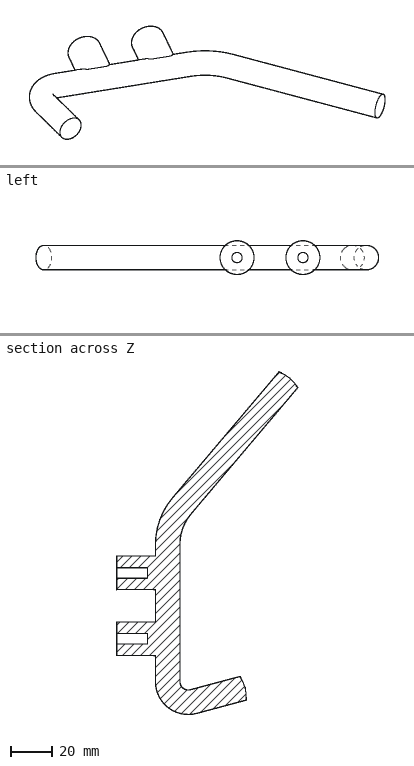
import cadquery as cq
import math

ROD_DIAMETER = 12.0
STRAIGHT_LENGTH = 66.8
LOWER_BEND_RADIUS = 10.0
LOWER_BEND_ANGLE = 105.0
LOWER_ARM_LENGTH = 25.0
UPPER_BEND_RADIUS = 29.0
UPPER_BEND_ANGLE = 40.2
UPPER_ARM_LENGTH = 80.5
TIP_DOME_HEIGHT = 1.0

POST_DIAMETER = 16.5
POST_LENGTH = 23.9
POST_END_FILLET = 1.0
POST_BASE_X = -24.9
LOWER_POST_Y = 20.9
POST_SPACING = 32.0
POST_COUNT = 2
HOLE_DIAMETER = 5.0
HOLE_DEPTH = 15.0


def bend_point(radius, angle):
    """Offset (X, along the rod) from a bend's start after turning by angle degrees."""
    turn = math.radians(angle)
    return radius * (1 - math.cos(turn)), radius * math.sin(turn)


def rod_centreline():
    """Path in the XY plane from the lower arm's tip to the upper arm's tip."""
    lower_turn = math.radians(LOWER_BEND_ANGLE)
    upper_turn = math.radians(UPPER_BEND_ANGLE)

    lower_mid_x, lower_mid_drop = bend_point(LOWER_BEND_RADIUS, LOWER_BEND_ANGLE / 2)
    lower_end_x, lower_end_drop = bend_point(LOWER_BEND_RADIUS, LOWER_BEND_ANGLE)
    lower_tip_x = lower_end_x + LOWER_ARM_LENGTH * math.sin(lower_turn)
    lower_tip_y = -lower_end_drop - LOWER_ARM_LENGTH * math.cos(lower_turn)

    upper_mid_x, upper_mid_rise = bend_point(UPPER_BEND_RADIUS, UPPER_BEND_ANGLE / 2)
    upper_end_x, upper_end_rise = bend_point(UPPER_BEND_RADIUS, UPPER_BEND_ANGLE)
    upper_tip_x = upper_end_x + UPPER_ARM_LENGTH * math.sin(upper_turn)
    upper_end_y = STRAIGHT_LENGTH + upper_end_rise
    upper_tip_y = upper_end_y + UPPER_ARM_LENGTH * math.cos(upper_turn)

    return (
        cq.Workplane("XY")
        .moveTo(lower_tip_x, lower_tip_y)
        .lineTo(lower_end_x, -lower_end_drop)
        .threePointArc((lower_mid_x, -lower_mid_drop), (0, 0))
        .lineTo(0, STRAIGHT_LENGTH)
        .threePointArc((upper_mid_x, STRAIGHT_LENGTH + upper_mid_rise), (upper_end_x, upper_end_y))
        .lineTo(upper_tip_x, upper_tip_y)
        .wire()
    )


def tip_dome(centre, outward):
    """Shallow spherical cap on a rod tip, bulging along the outward direction."""
    radius = ROD_DIAMETER / 2
    height = TIP_DOME_HEIGHT
    sphere_radius = (radius**2 + height**2) / (2 * height)
    arc_mid_angle = math.asin(radius / sphere_radius) / 2
    arc_mid = (
        sphere_radius * math.sin(arc_mid_angle),
        height - sphere_radius * (1 - math.cos(arc_mid_angle)),
    )
    profile_plane = cq.Plane(origin=centre, xDir=(0, 0, 1), normal=cq.Vector(0, 0, 1).cross(outward))
    return (
        cq.Workplane(profile_plane)
        .lineTo(radius, 0)
        .threePointArc(arc_mid, (0, height))
        .close()
        .revolve(360, (0, 0), (0, 1))
    )


def bent_rod():
    path = rod_centreline()
    wire = path.val()
    lower_tip, upper_tip = wire.startPoint(), wire.endPoint()
    lower_inward, upper_outward = wire.tangentAt(0), wire.tangentAt(1)
    lower_tip_plane = cq.Plane(origin=lower_tip, xDir=(0, 0, 1), normal=lower_inward)
    return (
        cq.Workplane(lower_tip_plane)
        .circle(ROD_DIAMETER / 2)
        .sweep(path)
        .union(tip_dome(lower_tip, lower_inward * -1))
        .union(tip_dome(upper_tip, upper_outward))
    )


def post_base_plane(y):
    """Plane on a post's free end, facing +X toward the rod."""
    return cq.Workplane("YZ", origin=(POST_BASE_X, y, 0))


def post(y):
    return (
        post_base_plane(y)
        .circle(POST_DIAMETER / 2)
        .extrude(POST_LENGTH)
        .faces(">X")
        .edges()
        .fillet(POST_END_FILLET)
    )


def post_hole(y):
    return post_base_plane(y).circle(HOLE_DIAMETER / 2).extrude(HOLE_DEPTH)


post_positions = [LOWER_POST_Y + i * POST_SPACING for i in range(POST_COUNT)]

result = bent_rod()
for post_y in post_positions:
    result = result.union(post(post_y))
for post_y in post_positions:
    result = result.cut(post_hole(post_y))